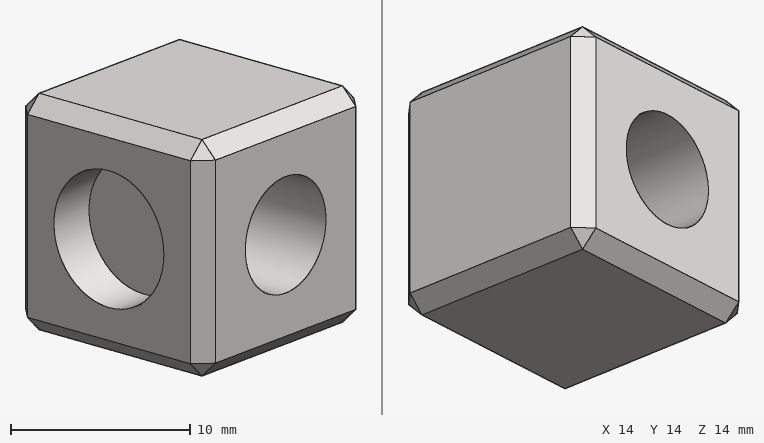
import cadquery as cq

side = 14.0
edge_chamfer = 1.0

through_diameter = 6.9

pocket_diameter = 8.1
pocket_depth = 3.0


def chamfered_cube():
    """Cube with every edge chamfered equally."""
    return cq.Workplane("XY").box(side, side, side).edges().chamfer(edge_chamfer)


def through_hole():
    """Cylinder that crosses the whole cube along X."""
    return cq.Workplane("YZ").circle(through_diameter / 2).extrude(side / 2, both=True)


def front_pocket():
    """Cylinder that enters the -Y face and stops short of the through hole."""
    front_face = cq.Workplane("XZ", origin=(0, -side / 2, 0))
    return front_face.circle(pocket_diameter / 2).extrude(-pocket_depth)


result = chamfered_cube().cut(through_hole()).cut(front_pocket())